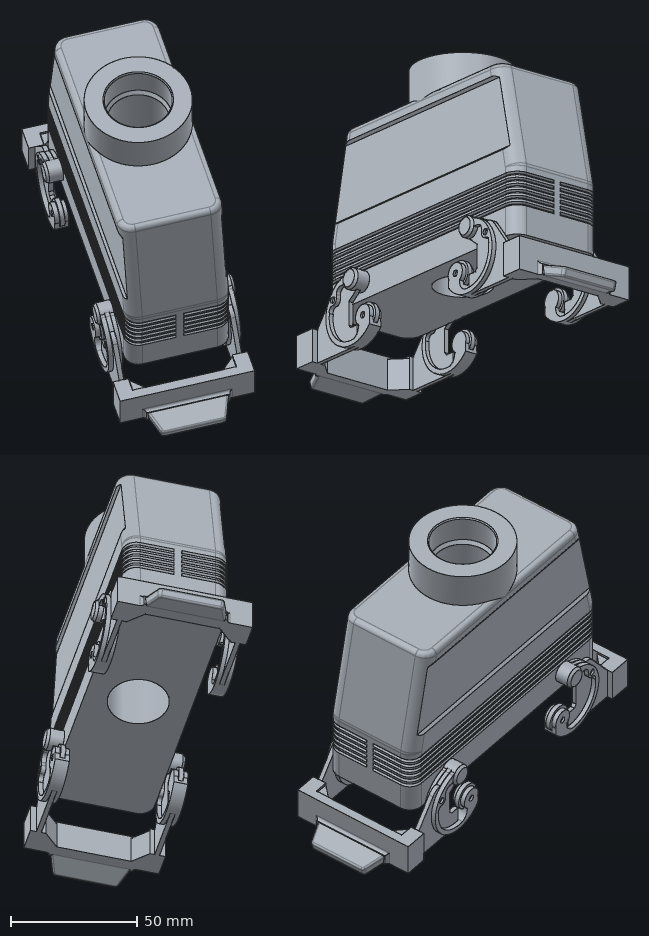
import cadquery as cq
import math


HOOD_LENGTH = 120.4
HOOD_WIDTH = 43.0
HOOD_HEIGHT = 76.0
HOOD_TOP_LENGTH = 100.4
TAPER_START = 29.9
TAPER_BEND_RADIUS = 6.0
CORNER_RADIUS = 6.0
TOP_EDGE_RADIUS = 2.5

PANEL_DEPTH = 1.1
PANEL_BOTTOM = 37.3
PANEL_TOP = 70.4
PANEL_SLOPE = 1.1

GROOVE_COUNT = 6
GROOVE_PITCH = 2.56
GROOVE_HEIGHT = 1.5
GROOVE_DEPTH = GROOVE_HEIGHT / 2
GROOVE_START = 12.4
GROOVE_BREAK = 3.2

ENTRY_TOP = 91.2
ENTRY_RADIUS = HOOD_WIDTH / 2
BORE_RADIUS = 13.5
BORE_DEPTH = 11.3
BORE_CHAMFER = 0.5
HOLE_RADIUS = 12.3
SEAT_DROP = 1.5

ARM_INNER = HOOD_WIDTH / 2
ARM_OUTER = 27.3
PLATE_INNER = 23.3
PLATE_OUTER = 25.3
PIVOT_OUTER = 28.5

RING_CENTER = (-37.2, -4.8)
RING_OUTER_RADIUS = 15.7
RING_INNER_RADIUS = 13.6
RING_START_ANGLE = 105.0
PLATE_RIM = 0.3
RING_END_ANGLE = -40.0
RING_INNER_START_ANGLE = -82.0
RING_INNER_END_ANGLE = 172.0
PIVOT = (-36.9, 7.8)
PIVOT_RADIUS = 4.5
PIVOT_CORE_RADIUS = 4.2
PIVOT_CHAMFER = 0.85
ROLLER = (-29.5, -9.8)
ROLLER_RADIUS = 4.5
ROLLER_FLANGE_RADIUS = 5.7
RIVET = (-48.6, 2.2)
RIVET_BOSS_RADIUS = 2.4
RIVET_HOLE_RADIUS = 1.3
RIVET_HOLE_DEPTH = 1.0

FRAME_OUTER_X = -71.0
FRAME_INNER_X = -60.9
FRAME_BAR = 4.0
FRAME_TOP = -6.3
FRAME_BOTTOM = RING_CENTER[1] - RING_OUTER_RADIUS
FRAME_HALF_WIDTH = 27.8
FRAME_ARM_INNER = 21.4
GUSSET_DROP = 1.0

OVERALL_HEIGHT = 114.08
TAB_END_X = -81.395
TAB_LOWEST = ENTRY_TOP - OVERALL_HEIGHT
TAB_ROOT_TOP = -16.0
TAB_TILT = 16.0
TAB_ROOT_HALF_WIDTH = 17.2
TAB_END_HALF_WIDTH = 13.2
TAB_CORNER_RADIUS = 1.5
TAB_EDGE_RADIUS = 0.8
TAB_ROOT_FLARE = 1.3
TAB_OVERLAP = 1.0


def block(x_range, y_range, z_range):
    """Box between the given limits."""
    size = [limits[1] - limits[0] for limits in (x_range, y_range, z_range)]
    corner = (x_range[0], y_range[0], z_range[0])
    return cq.Workplane("XY").box(*size, centered=False).translate(corner)


def around(center, radius, angle):
    """Point at a radius and an angle in degrees around a centre."""
    turn = math.radians(angle)
    return (center[0] + radius * math.cos(turn), center[1] + radius * math.sin(turn))


def side_plane(y):
    """XZ workplane at the given Y; its extrusions grow toward -Y."""
    return cq.Workplane("XZ", origin=(0, y, 0))


def disc(center, radius, y_inner, y_outer):
    """Disc with its axis along Y on the -Y side of the part."""
    return side_plane(-y_inner).center(*center).circle(radius).extrude(y_outer - y_inner)


def hood_body():
    """Tapered block with rounded bends, corners and top edge."""
    half = HOOD_LENGTH / 2
    half_top = HOOD_TOP_LENGTH / 2
    outline = [
        (-half, 0),
        (half, 0),
        (half, TAPER_START),
        (half_top, HOOD_HEIGHT),
        (-half_top, HOOD_HEIGHT),
        (-half, TAPER_START),
    ]
    body = side_plane(HOOD_WIDTH / 2).polyline(outline).close().extrude(HOOD_WIDTH)
    bends = cq.selectors.BoxSelector(
        (-HOOD_LENGTH, -HOOD_WIDTH, TAPER_START - 1),
        (HOOD_LENGTH, HOOD_WIDTH, TAPER_START + 1),
    )
    body = body.edges("|Y").edges(bends).fillet(TAPER_BEND_RADIUS)
    body = body.faces("<Y or >Y").edges("(not <Z) and (not >Z)").fillet(CORNER_RADIUS)
    return body.faces(">Z").edges().fillet(TOP_EDGE_RADIUS)


def panel_cut():
    """Shallow recess along both long sides."""
    outer = HOOD_WIDTH / 2
    floor = outer - PANEL_DEPTH
    outline = [
        (-outer, PANEL_BOTTOM),
        (-floor, PANEL_BOTTOM + PANEL_SLOPE),
        (-floor, PANEL_TOP - PANEL_SLOPE),
        (-outer, PANEL_TOP),
    ]
    cut = cq.Workplane("YZ").polyline(outline).close().extrude(HOOD_LENGTH / 2, both=True)
    return cut.union(cut.mirror("XZ"))


def hood_grooves():
    """V grooves around the hood, each broken in the middle of both ends."""
    half_x = HOOD_LENGTH / 2
    half_y = HOOD_WIDTH / 2
    half_height = GROOVE_HEIGHT / 2
    wire = cq.Workplane("XY").rect(HOOD_LENGTH, HOOD_WIDTH).extrude(half_height)
    wire = wire.edges("|Z").fillet(CORNER_RADIUS).faces("<Z").wires().val()
    profile = [(-half_y, -half_height), (-half_y, half_height), (GROOVE_DEPTH - half_y, 0)]
    groove = cq.Workplane("YZ").polyline(profile).close().sweep(cq.Workplane(wire))
    bridge_width = (-GROOVE_BREAK / 2, GROOVE_BREAK / 2)
    bridge = block((-half_x, half_x), bridge_width, (-half_height, half_height))
    groove = groove.cut(bridge)
    first = GROOVE_START + half_height
    return [groove.translate((0, 0, first + i * GROOVE_PITCH)) for i in range(GROOVE_COUNT)]


def entry_collar():
    """Round collar that starts below the rounded top edge."""
    base = HOOD_HEIGHT - TOP_EDGE_RADIUS
    return cq.Workplane("XY", origin=(0, 0, base)).circle(ENTRY_RADIUS).extrude(ENTRY_TOP - base)


def entry_bore():
    """Chamfered bore, conical seat and a smaller hole through to the bottom."""
    seat = ENTRY_TOP - BORE_DEPTH
    outline = [
        (0, 0),
        (HOLE_RADIUS, 0),
        (HOLE_RADIUS, seat - SEAT_DROP),
        (BORE_RADIUS, seat),
        (BORE_RADIUS, ENTRY_TOP - BORE_CHAMFER),
        (BORE_RADIUS + BORE_CHAMFER, ENTRY_TOP),
        (0, ENTRY_TOP),
    ]
    return cq.Workplane("XZ").polyline(outline).close().revolve(360, (0, 0, 0), (0, 1, 0))


def arm_plate():
    """Flat plate joining the handle frame to the hook ring."""
    rim_radius = RING_OUTER_RADIUS + PLATE_RIM
    outline = (
        side_plane(-PLATE_INNER)
        .moveTo(FRAME_INNER_X, FRAME_BOTTOM)
        .lineTo(FRAME_INNER_X, FRAME_TOP)
        .lineTo(-51.8, 5.4)
        .threePointArc((-50.2, 6.9), around(RING_CENTER, rim_radius, 128))
        .threePointArc(
            around(RING_CENTER, rim_radius, 116),
            around(RING_CENTER, rim_radius, RING_START_ANGLE),
        )
        .lineTo(*around(PIVOT, PIVOT_CORE_RADIUS, 110))
        .lineTo(*around(PIVOT, PIVOT_CORE_RADIUS, -60))
        .lineTo(-40.8, -0.3)
        .lineTo(-40.8, -10.4)
        .lineTo(-39.7, -11.7)
        .lineTo(-35.6, -11.7)
        .lineTo(-35.6, -19.2)
        .lineTo(RING_CENTER[0], FRAME_BOTTOM)
        .close()
    )
    plate = outline.extrude(PLATE_OUTER - PLATE_INNER)
    return plate.union(disc(ROLLER, ROLLER_FLANGE_RADIUS, PLATE_INNER, PLATE_OUTER))


def hook_ring():
    """Raised hook that runs from the pivot around to the latch roller."""
    rivet_bottom = around(RIVET, RIVET_BOSS_RADIUS, -90)
    rivet_side = around(RIVET, RIVET_BOSS_RADIUS, 0)
    ring = (
        side_plane(-ARM_INNER)
        .moveTo(*around(RING_CENTER, RING_OUTER_RADIUS, RING_START_ANGLE))
        .threePointArc(
            around(RING_CENTER, RING_OUTER_RADIUS, 200),
            around(RING_CENTER, RING_OUTER_RADIUS, RING_END_ANGLE),
        )
        .lineTo(*around(ROLLER, ROLLER_RADIUS, -20))
        .lineTo(*ROLLER)
        .lineTo(-32.2, -13.3)
        .threePointArc((-32.6, -15.8), around(RING_CENTER, RING_INNER_RADIUS, RING_INNER_START_ANGLE))
        .threePointArc(
            around(RING_CENTER, RING_INNER_RADIUS, 220),
            around(RING_CENTER, RING_INNER_RADIUS, RING_INNER_END_ANGLE),
        )
        .threePointArc((-50.2, -0.8), rivet_bottom)
        .threePointArc(around(RIVET, RIVET_BOSS_RADIUS, -45), rivet_side)
        .lineTo(rivet_side[0], 3.8)
        .threePointArc((-45.4, 5.9), (-43.3, 6.7))
        .lineTo(PIVOT[0], 6.7)
        .lineTo(*around(PIVOT, PIVOT_CORE_RADIUS, 115))
        .close()
        .extrude(ARM_OUTER - ARM_INNER)
    )
    return ring.union(disc(ROLLER, ROLLER_RADIUS, ARM_INNER, ARM_OUTER))


def lever_arm():
    """Plate, hook and chamfered pivot, with blind rivet holes."""
    pivot = disc(PIVOT, PIVOT_RADIUS, ARM_INNER, PIVOT_OUTER)
    pivot = pivot.faces("<Y").chamfer(PIVOT_OUTER - ARM_OUTER, PIVOT_CHAMFER)
    arm = arm_plate().union(hook_ring()).union(pivot)
    for center in (RIVET, ROLLER):
        arm = arm.cut(disc(center, RIVET_HOLE_RADIUS, ARM_OUTER - RIVET_HOLE_DEPTH, ARM_OUTER))
    return arm


def handle_frame():
    """U-shaped frame with a lowered gusset in each inner corner."""
    z_range = (FRAME_BOTTOM, FRAME_TOP)
    bar_inner = FRAME_OUTER_X + FRAME_BAR
    frame = block((FRAME_OUTER_X, FRAME_INNER_X), (-FRAME_HALF_WIDTH, FRAME_HALF_WIDTH), z_range)
    frame = frame.cut(block((bar_inner, FRAME_INNER_X), (-FRAME_ARM_INNER, FRAME_ARM_INNER), z_range))
    gusset_size = FRAME_INNER_X - bar_inner
    gusset = (
        cq.Workplane("XY", origin=(bar_inner, -FRAME_ARM_INNER, FRAME_BOTTOM))
        .polyline([(0, 0), (gusset_size, 0), (0, gusset_size)])
        .close()
        .extrude(FRAME_TOP - GUSSET_DROP - FRAME_BOTTOM)
    )
    return frame.union(gusset).union(gusset.mirror("XZ"))


def finger_tab():
    """Rounded tab that tapers in plan and tilts down from the handle frame."""
    tilt = math.radians(TAB_TILT)
    rounding_loss = TAB_EDGE_RADIUS * (math.cos(tilt) + math.sin(tilt) - 1)
    length = (FRAME_OUTER_X - TAB_END_X + rounding_loss) / math.cos(tilt)
    drop = TAB_ROOT_TOP - TAB_LOWEST + rounding_loss
    thickness = (drop - length * math.sin(tilt)) / math.cos(tilt)
    outline = [
        (TAB_OVERLAP, -TAB_ROOT_HALF_WIDTH),
        (0, -TAB_ROOT_HALF_WIDTH),
        (-length, -TAB_END_HALF_WIDTH),
        (-length, TAB_END_HALF_WIDTH),
        (0, TAB_ROOT_HALF_WIDTH),
        (TAB_OVERLAP, TAB_ROOT_HALF_WIDTH),
    ]
    tab = cq.Workplane("XY").polyline(outline).close().extrude(-thickness)
    tab = tab.edges("|Z and <X").fillet(TAB_CORNER_RADIUS)
    tab = tab.faces("<Z or >Z").edges("not >X").fillet(TAB_EDGE_RADIUS)
    tab = tab.rotate((0, 0, 0), (0, 1, 0), -TAB_TILT)
    return tab.translate((FRAME_OUTER_X, 0, TAB_ROOT_TOP))


def tab_root():
    """Flared root that blends the tab into the outer face of the frame."""
    flare = TAB_ROOT_FLARE
    top = TAB_ROOT_TOP - FRAME_BOTTOM
    bow = flare * (1 - math.sqrt(0.5))
    side = TAB_ROOT_HALF_WIDTH
    profile = (
        cq.Workplane("XZ", origin=(FRAME_OUTER_X, side + flare, FRAME_BOTTOM))
        .lineTo(0, top + flare)
        .threePointArc((-bow, top + bow), (-flare, top))
        .lineTo(-flare, 0)
        .close()
        .extrude(2 * (side + flare))
    )
    plan = (
        cq.Workplane("XY", origin=(FRAME_OUTER_X, 0, FRAME_BOTTOM))
        .moveTo(0, -side - flare)
        .threePointArc((-bow, -side - bow), (-flare, -side))
        .lineTo(-flare, side)
        .threePointArc((-bow, side + bow), (0, side + flare))
        .close()
        .extrude(top + flare)
    )
    return profile.intersect(plan)


def lever():
    """Handle frame with its tab and an arm on each side."""
    arm = lever_arm()
    return handle_frame().union(finger_tab()).union(tab_root()).union(arm).union(arm.mirror("XZ"))


def hood():
    """Hood with its panels, grooves and cable entry."""
    body = hood_body().cut(panel_cut())
    for groove in hood_grooves():
        body = body.cut(groove)
    return body.union(entry_collar()).cut(entry_bore())


left_lever = lever()
result = hood().union(left_lever).union(left_lever.mirror("YZ"))